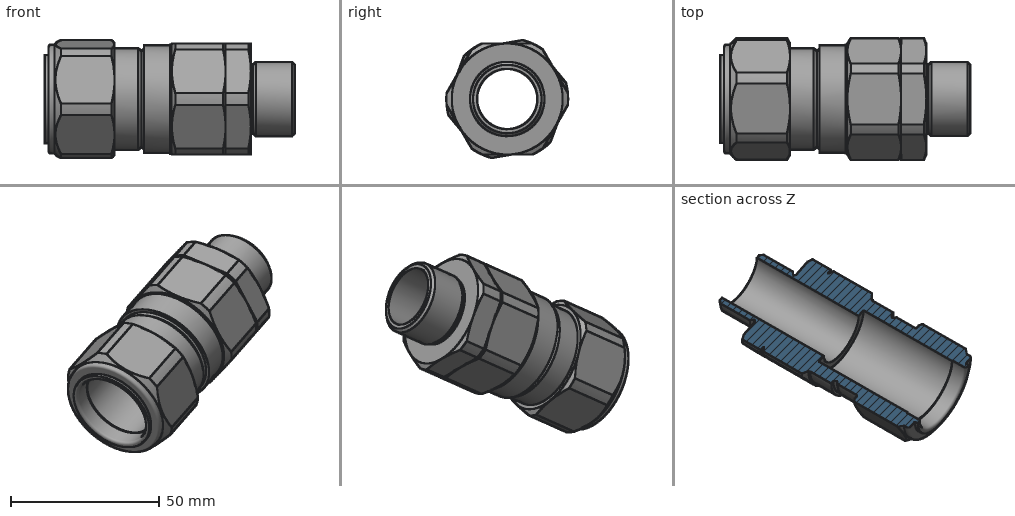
import cadquery as cq
import math

LENGTH = 84.45

ARC_MID_INSET = 1 - math.cos(math.radians(45))

HEX_APOTHEM = 18.75
HEX_ACROSS_POINTS = 2 * HEX_APOTHEM / math.cos(math.radians(30))
CORNER_RADIUS = 20.6
NUT_TURN = 9.8

LIP_END = 1.3
LIP_RADIUS = 14.95
COLLAR_RADIUS = 18.4
COLLAR_ROUND = 0.9
COLLAR_END = 3.3
NUT_FRONT_CHAMFER = CORNER_RADIUS - COLLAR_RADIUS
NUT_END = 23.6
NUT_REAR_CHAMFER = 1.0

FRONT_BODY_RADIUS = 17.2
GROOVE_START = 31.6
GROOVE_BOTTOM = 32.7
GROOVE_RADIUS = 16.2
REAR_BODY_START = 33.5
REAR_BODY_RADIUS = 18.2
REAR_BODY_END = 42.3

WASHER_RADIUS = 18.5
MIDDLE_START = 42.8
MIDDLE_FRONT_CHAMFER = 1.3
MIDDLE_END = 61.05
ENTRY_END = 69.6
REAR_CHAMFER = 0.85

SPIGOT_RADIUS = 12.6
SPIGOT_CHAMFER = 1.0
UNDERCUT_RADIUS = SPIGOT_RADIUS - SPIGOT_CHAMFER
UNDERCUT_CHAMFER = 0.4
UNDERCUT_END = 70.3

BORE_RADIUS = 10.1
MOUTH_RADIUS = 13.3
MOUTH_ROUND = 0.9
MOUTH_DEPTH = 5.75
SEAT_RADIUS = 13.0
SEAT_DEPTH = REAR_BODY_END


def revolve_about_x(profile):
    """Revolve a closed (x, radius) profile about the X axis."""
    return profile.close().revolve(360, (0, 0, 0), (1, 0, 0))


def hexagon(start, end, front_radius, front_chamfer, rear_chamfer, turn=0):
    """Hexagonal prism along X, with flats facing +-Z, trimmed by a chamfered cylinder."""
    prism = (
        cq.Workplane("YZ", origin=(start, 0, 0))
        .polygon(6, HEX_ACROSS_POINTS)
        .extrude(end - start)
        .rotate((0, 0, 0), (1, 0, 0), turn)
    )
    outline = cq.Workplane("XY").moveTo(start, 0).lineTo(start, front_radius)
    if front_chamfer > 0:
        outline = outline.lineTo(start + front_chamfer, CORNER_RADIUS)
    envelope = revolve_about_x(
        outline
        .lineTo(end - rear_chamfer, CORNER_RADIUS)
        .lineTo(end, HEX_APOTHEM)
        .lineTo(end, 0)
    )
    return prism.intersect(envelope)


def turned_core():
    """All round outer surfaces, from the nut lip to the end of the spigot."""
    round_mid = COLLAR_ROUND * ARC_MID_INSET
    groove_wall_top = GROOVE_RADIUS + REAR_BODY_START - GROOVE_BOTTOM
    return revolve_about_x(
        cq.Workplane("XY")
        .moveTo(0, 0)
        .lineTo(0, LIP_RADIUS)
        .lineTo(LIP_END, LIP_RADIUS)
        .lineTo(LIP_END, COLLAR_RADIUS - COLLAR_ROUND)
        .threePointArc(
            (LIP_END + round_mid, COLLAR_RADIUS - round_mid),
            (LIP_END + COLLAR_ROUND, COLLAR_RADIUS),
        )
        .lineTo(COLLAR_END, COLLAR_RADIUS)
        .lineTo(COLLAR_END, FRONT_BODY_RADIUS)
        .lineTo(GROOVE_START, FRONT_BODY_RADIUS)
        .lineTo(GROOVE_BOTTOM, GROOVE_RADIUS)
        .lineTo(REAR_BODY_START, groove_wall_top)
        .lineTo(REAR_BODY_START, REAR_BODY_RADIUS)
        .lineTo(REAR_BODY_END, REAR_BODY_RADIUS)
        .lineTo(REAR_BODY_END, WASHER_RADIUS)
        .lineTo(ENTRY_END, WASHER_RADIUS)
        .lineTo(ENTRY_END, UNDERCUT_RADIUS + UNDERCUT_CHAMFER)
        .lineTo(ENTRY_END + UNDERCUT_CHAMFER, UNDERCUT_RADIUS)
        .lineTo(UNDERCUT_END, UNDERCUT_RADIUS)
        .lineTo(UNDERCUT_END + SPIGOT_CHAMFER, SPIGOT_RADIUS)
        .lineTo(LENGTH - SPIGOT_CHAMFER, SPIGOT_RADIUS)
        .lineTo(LENGTH, SPIGOT_RADIUS - SPIGOT_CHAMFER)
        .lineTo(LENGTH, 0)
    )


def bore():
    """Stepped through hole with a rounded mouth."""
    round_mid = MOUTH_ROUND * ARC_MID_INSET
    return revolve_about_x(
        cq.Workplane("XY")
        .moveTo(0, 0)
        .lineTo(0, MOUTH_RADIUS + MOUTH_ROUND)
        .threePointArc((round_mid, MOUTH_RADIUS + round_mid), (MOUTH_ROUND, MOUTH_RADIUS))
        .lineTo(MOUTH_DEPTH, MOUTH_RADIUS)
        .lineTo(MOUTH_DEPTH, SEAT_RADIUS)
        .lineTo(SEAT_DEPTH, SEAT_RADIUS)
        .lineTo(SEAT_DEPTH, BORE_RADIUS)
        .lineTo(LENGTH, BORE_RADIUS)
        .lineTo(LENGTH, 0)
    )


nut_hexagon = hexagon(
    COLLAR_END, NUT_END, COLLAR_RADIUS, NUT_FRONT_CHAMFER, NUT_REAR_CHAMFER, NUT_TURN
)
middle_hexagon = hexagon(
    MIDDLE_START, MIDDLE_END, WASHER_RADIUS, MIDDLE_FRONT_CHAMFER, REAR_CHAMFER
)
entry_hexagon = hexagon(MIDDLE_END, ENTRY_END, CORNER_RADIUS, 0.0, REAR_CHAMFER)

result = turned_core().union(nut_hexagon).union(middle_hexagon).union(entry_hexagon).cut(bore())